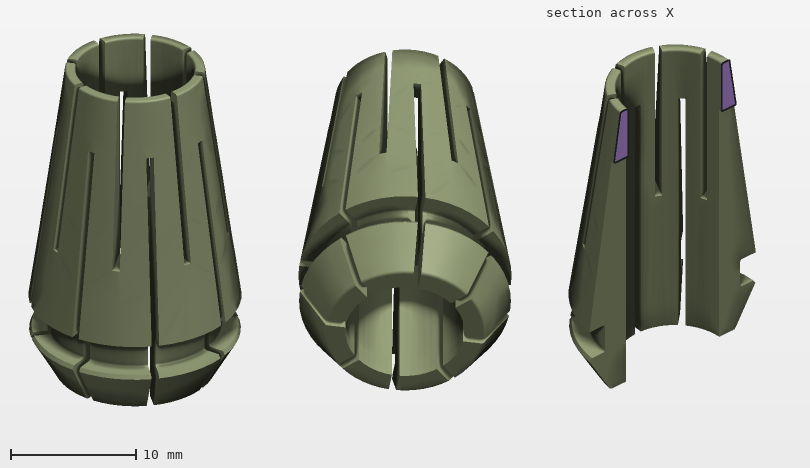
import cadquery as cq
import math

height = 27.5
cone_half_angle = 8.0
cone_base_radius = 8.5
bore_diameter = 9.52

nose_radius = 6.35
nose_round = 0.28
collar_radius = 8.45
collar_widest_z = 3.65
collar_top_z = 4.0
collar_top_radius = 8.25
groove_radius = 6.9
groove_top_z = 6.68
groove_corner_round = 0.2

mouth_round = 0.2

slots_per_set = 8
slot_width = 0.6
nose_slot_top_z = 22.65
mouth_slot_floor_z = 13.04

bore_radius = bore_diameter / 2
cone_top_radius = cone_base_radius - (height - groove_top_z) * math.tan(math.radians(cone_half_angle))


def ring_edge(radius, z):
    """Select the circular edge of the given radius at height z."""
    tolerance = 0.003
    outer = radius + tolerance
    inner = radius - tolerance
    slab = cq.selectors.BoxSelector((-outer, -outer, z - tolerance), (outer, outer, z + tolerance), True)
    core = cq.selectors.BoxSelector((-inner, -inner, z - tolerance), (inner, inner, z + tolerance), True)
    return slab - core


def collet_body():
    """Revolve the outer profile about Z and bore it through."""
    profile = (
        cq.Workplane("XZ")
        .moveTo(0, 0)
        .lineTo(nose_radius, 0)
        .lineTo(collar_radius, collar_widest_z)
        .lineTo(collar_top_radius, collar_top_z)
        .lineTo(groove_radius, collar_top_z)
        .lineTo(groove_radius, groove_top_z)
        .lineTo(cone_base_radius, groove_top_z)
        .lineTo(cone_top_radius, height)
        .lineTo(0, height)
        .close()
    )
    solid = profile.revolve(360, (0, 0, 0), (0, 1, 0))
    return solid.faces(">Z").workplane().hole(bore_diameter)


def round_edges(body):
    """Soften the nose, the groove corners and both edges of the mouth."""
    body = body.edges(ring_edge(nose_radius, 0)).fillet(nose_round)
    for corner_z in (collar_top_z, groove_top_z):
        body = body.edges(ring_edge(groove_radius, corner_z)).fillet(groove_corner_round)
    for radius in (bore_radius, cone_top_radius):
        body = body.edges(ring_edge(radius, height)).fillet(mouth_round)
    return body


def slot_set(bottom_z, top_z, first_angle):
    """Radial slots reaching from the bore out past the cone, evenly spaced about Z."""
    pitch = 360 / slots_per_set
    reach = cone_base_radius + slot_width
    blade = cq.Workplane("XY").box(reach, slot_width, top_z - bottom_z, centered=(False, True, False))
    blade = blade.translate((0, 0, bottom_z))
    slots = blade.rotate((0, 0, 0), (0, 0, 1), first_angle)
    for index in range(1, slots_per_set):
        slots = slots.union(blade.rotate((0, 0, 0), (0, 0, 1), first_angle + index * pitch))
    return slots


nose_slots = slot_set(0, nose_slot_top_z, 0)
mouth_slots = slot_set(mouth_slot_floor_z, height, 180 / slots_per_set)
result = round_edges(collet_body()).cut(nose_slots).cut(mouth_slots)